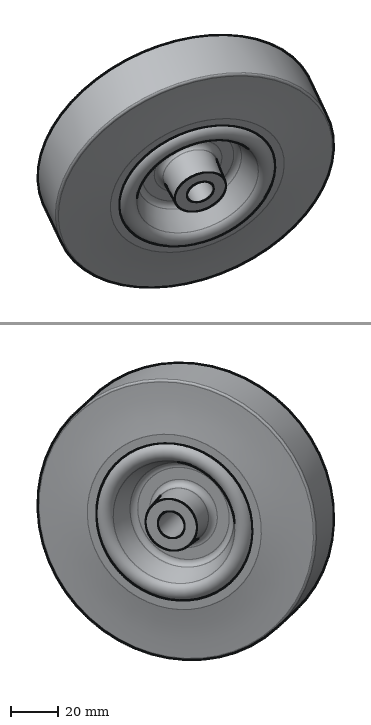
import cadquery as cq
import math

tyre_radius = 62.5
hub_half_width = 19.0

tread_half_width = 12.5
tread_edge_fillet = 1.0
tyre_bore_radius = 35.0
flat_radius = 39.0
flat_half_width = 15.0
sidewall_sag = 0.5

bead_radius = 4.0
bead_half_width = 18.0
web_half_thickness = 3.0
dish_fillet = 3.0
floor_outer_radius = 20.5

bore_radius = 6.0
hub_tip_radius = 11.5
hub_draft = 3.0
hub_fillet = 3.0


def arc_point(centre, radius, degrees):
    """Point on a circle in the (axial, radial) plane, measured from the axial direction."""
    angle = math.radians(degrees)
    return (centre[0] + radius * math.cos(angle), centre[1] + radius * math.sin(angle))


def mirrored(point):
    """Reflect a profile point across the centre plane."""
    return (-point[0], point[1])


def revolve_about_axle(start, segments):
    """Revolve a section that is symmetric about the centre plane.

    The +X side runs from start, at the bore, out to the rim of the section. Each segment is
    (end,) for a line or (end, middle) for an arc. The -X side is its mirror image.
    """
    section = cq.Workplane("XZ").moveTo(*start)
    for end, *middle in segments:
        section = section.threePointArc(*middle, end) if middle else section.lineTo(*end)

    section = section.lineTo(*mirrored(segments[-1][0]))
    side_starts = [start] + [segment[0] for segment in segments[:-1]]
    for side_start, (_, *middle) in zip(reversed(side_starts), reversed(segments)):
        end = mirrored(side_start)
        section = section.threePointArc(mirrored(*middle), end) if middle else section.lineTo(*end)

    return section.close().revolve(360, (0, 0, 0), (1, 0, 0))


def make_tyre():
    sidewall_outer = (tread_half_width, tyre_radius - tread_edge_fillet)
    sidewall_inner = (flat_half_width, flat_radius)
    run = sidewall_outer[0] - sidewall_inner[0]
    rise = sidewall_outer[1] - sidewall_inner[1]
    chord = math.hypot(run, rise)
    sidewall_middle = (
        (sidewall_outer[0] + sidewall_inner[0]) / 2 - sidewall_sag * rise / chord,
        (sidewall_outer[1] + sidewall_inner[1]) / 2 + sidewall_sag * run / chord,
    )
    fillet_centre = (tread_half_width - tread_edge_fillet, tyre_radius - tread_edge_fillet)
    segments = [
        (sidewall_inner,),
        (sidewall_outer, sidewall_middle),
        ((fillet_centre[0], tyre_radius), arc_point(fillet_centre, tread_edge_fillet, 45)),
    ]
    return revolve_about_axle((flat_half_width, tyre_bore_radius), segments)


def make_rim():
    draft = math.radians(hub_draft)
    hub_centre_x = web_half_thickness + hub_fillet
    hub_wall_radius = hub_tip_radius + (hub_half_width - hub_centre_x) * math.tan(draft)
    hub_centre = (hub_centre_x, hub_wall_radius + hub_fillet / math.cos(draft))
    hub_wall_end = arc_point(hub_centre, hub_fillet, 270 - hub_draft)
    hub_fillet_middle = arc_point(hub_centre, hub_fillet, 225)

    dish_centre = (web_half_thickness + dish_fillet, floor_outer_radius)
    bead_centre = (bead_half_width - bead_radius, tyre_bore_radius - bead_radius)
    run = bead_centre[0] - dish_centre[0]
    rise = bead_centre[1] - dish_centre[1]
    tangent_offset = math.asin((bead_radius + dish_fillet) / math.hypot(run, rise))
    dish_angle = math.degrees(math.atan2(rise, run) - tangent_offset)
    dish_fillet_middle = arc_point(dish_centre, dish_fillet, 135 + dish_angle / 2)
    dish_wall_start = arc_point(dish_centre, dish_fillet, 90 + dish_angle)
    dish_wall_end = arc_point(bead_centre, bead_radius, 270 + dish_angle)

    segments = [
        ((hub_half_width, hub_tip_radius),),
        (hub_wall_end,),
        ((web_half_thickness, hub_centre[1]), hub_fillet_middle),
        ((web_half_thickness, floor_outer_radius),),
        (dish_wall_start, dish_fillet_middle),
        (dish_wall_end,),
        ((bead_centre[0], tyre_bore_radius), (bead_half_width, bead_centre[1])),
    ]
    return revolve_about_axle((hub_half_width, bore_radius), segments)


tyre = make_tyre()
rim = make_rim()

result = cq.Compound.makeCompound([tyre.val(), rim.val()])